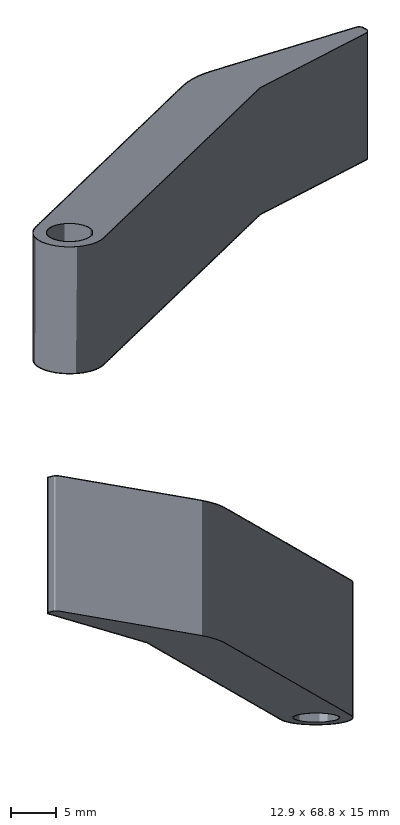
import cadquery as cq
import math

length = 68.8
height = 15.0

arm_width = 8.0
pivot_radius = arm_width / 2
hole_diameter = 5.0
bend_y = 45.0

outer_angle = math.radians(30)
inner_angle = math.radians(15)
bend_radius = 10.0
left_tip_radius = 0.5
right_tip_radius = 2.0 / 2

tip_drop = left_tip_radius * (math.sin(outer_angle) + math.cos(outer_angle) - 1)
left_tip_y = length - pivot_radius + tip_drop
finger_length = (left_tip_y - bend_y) / math.cos(outer_angle)
left_tip_x = finger_length * math.sin(outer_angle) - pivot_radius

inner_length = (finger_length - arm_width * math.sin(outer_angle)) / math.cos(outer_angle - inner_angle)
right_tip_x = pivot_radius + inner_length * math.sin(inner_angle)
right_tip_y = bend_y + inner_length * math.cos(inner_angle)

lever = (
    cq.Workplane("XY")
    .moveTo(-pivot_radius, 0)
    .threePointArc((0, -pivot_radius), (pivot_radius, 0))
    .lineTo(pivot_radius, bend_y)
    .lineTo(right_tip_x, right_tip_y)
    .lineTo(left_tip_x, left_tip_y)
    .lineTo(-pivot_radius, bend_y)
    .close()
    .extrude(height)
)


def round_corner(body, x, y, radius):
    """Round the upright edge nearest to the given corner."""
    edge = cq.selectors.NearestToPointSelector((x, y, height / 2))
    return body.edges("|Z").edges(edge).fillet(radius)


lever = round_corner(lever, -pivot_radius, bend_y, bend_radius)
lever = round_corner(lever, left_tip_x, left_tip_y, left_tip_radius)
lever = round_corner(lever, right_tip_x, right_tip_y, right_tip_radius)

pivot_hole = cq.Workplane("XY").circle(hole_diameter / 2).extrude(height)

result = lever.cut(pivot_hole)